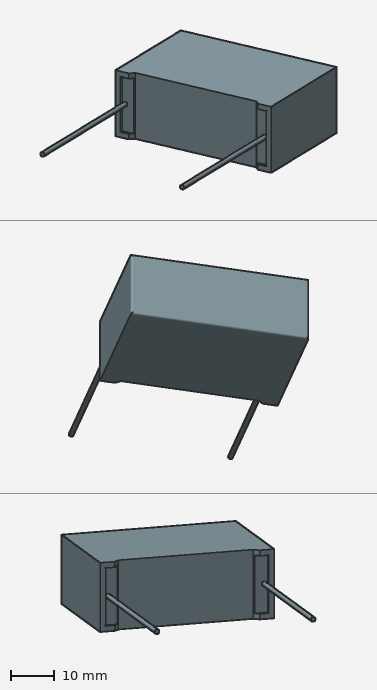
import cadquery as cq

width = 41.8
height = 16.3
total_length = 63.6
case_length = 28.6
case_rear_y = total_length / 2
case_front_y = case_rear_y - case_length
lead_end_y = -total_length / 2

rear_radius = 0.45

notch_depth = 1.0
notch_mouth_width = 34.7
notch_floor_width = 32.45
notch_floor_y = case_front_y + notch_depth

wall = 1.35
window_width = 3.1
cavity_width = width - 2 * wall
cavity_height = height - 2 * wall
cavity_front_y = notch_floor_y + wall
cavity_rear_y = case_rear_y - wall
window_x = (cavity_width - window_width) / 2

potting_recess = 0.75
potting_front_y = case_front_y + potting_recess

lead_diameter = 1.15
lead_spacing = 37.45
lead_root_y = cavity_front_y

sides = (-1, 1)


def block(size_x, size_z, y_start, y_end, x_center=0):
    """Box centered on Z = 0 that runs from y_start to y_end."""
    y_center = (y_start + y_end) / 2
    return cq.Workplane("XY").box(size_x, y_end - y_start, size_z).translate((x_center, y_center, 0))


def make_interior(front_y):
    """Main cavity plus a branch that runs forward to front_y in each foot."""
    interior = block(cavity_width, cavity_height, cavity_front_y, cavity_rear_y)
    for side in sides:
        branch = block(window_width, cavity_height, front_y, cavity_front_y, side * window_x)
        interior = interior.union(branch)
    return interior


def make_notch():
    """Trapezoidal prism through the full height, widest at the front face."""
    return (
        cq.Workplane("XY")
        .polyline([
            (-notch_mouth_width / 2, case_front_y),
            (-notch_floor_width / 2, notch_floor_y),
            (notch_floor_width / 2, notch_floor_y),
            (notch_mouth_width / 2, case_front_y),
        ])
        .close()
        .extrude(height / 2, both=True)
    )


def make_case():
    """Hollow box with a rounded rear end, a front notch and two windows."""
    body = block(width, height, case_front_y, case_rear_y)
    body = body.faces(">Y").edges().fillet(rear_radius)
    return body.cut(make_notch()).cut(make_interior(case_front_y))


def make_lead(side):
    """Round wire from inside the potting out to the -Y end."""
    return (
        cq.Workplane("XZ", origin=(side * lead_spacing / 2, lead_root_y, 0))
        .circle(lead_diameter / 2)
        .extrude(lead_root_y - lead_end_y)
    )


def make_potting(wires):
    """Filling of the cavity, trimmed by the notch, with a hole for each lead."""
    filling = make_interior(potting_front_y).cut(make_notch())
    for wire in wires:
        filling = filling.cut(wire)
    return filling


case = make_case()
leads = [make_lead(side) for side in sides]
potting = make_potting(leads)

result = cq.Compound.makeCompound([
    case.solids().val(),
    potting.solids().val(),
    *[lead.val() for lead in leads],
])